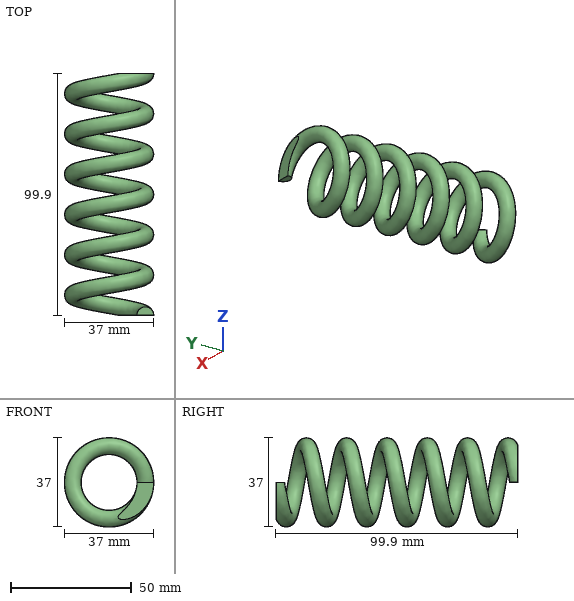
import cadquery as cq

outer_diameter = 37.0
wire_diameter = 7.0
spring_length = 99.92
turn_count = 6

mean_radius = (outer_diameter - wire_diameter) / 2
pitch = spring_length / turn_count
envelope_width = 2 * outer_diameter
quarter_turn = 90


def coil_wire():
    """Round wire swept along a helix about the Z axis, starting on the +X side."""
    helix = cq.Wire.makeHelix(pitch, spring_length, mean_radius)
    section = cq.Workplane("XZ").center(mean_radius, 0).circle(wire_diameter / 2)
    return section.sweep(cq.Workplane(obj=helix), isFrenet=True)


def length_envelope():
    """Block whose end planes cut the coil flat to the finished spring length."""
    return cq.Workplane("XY").box(
        envelope_width, envelope_width, spring_length, centered=(True, True, False)
    )


upright_spring = coil_wire().intersect(length_envelope())

result = upright_spring.rotate((0, 0, 0), (1, 0, 0), -quarter_turn).solids()